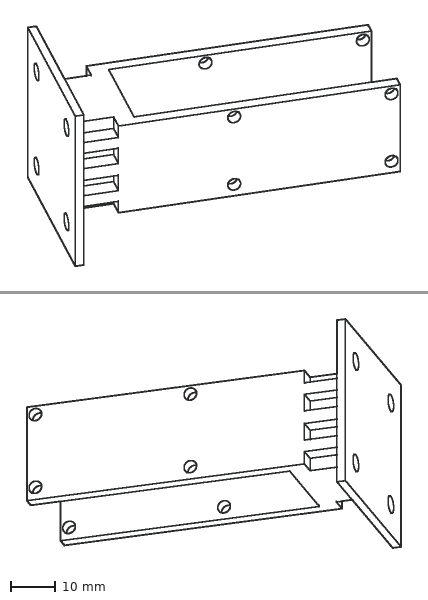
import cadquery as cq

total_length = 78.5
plate_side = 40.0
plate_thickness = 2.05

plate_hole_diameter = 4.0
plate_hole_pitch = 25.1

body_width = 27.1
body_height = 23.15
arm_gap = 21.35
gap_start = 16.5

arm_hole_diameter = 3.0
arm_hole_pitch_y = 37.1
arm_hole_pitch_z = 18.0
arm_hole_end_distance = 2.05
arm_hole_rise = 0.5

notch_length = 10.0
notch_depth = 4.1
notch_height = 4.1
notch_pitch = 7.2
corner_notch_height = 3.1


def block(x_size, y_start, y_size, z_size):
    """Box centred on X and Z that starts at the given Y."""
    return cq.Workplane("XY").box(x_size, y_size, z_size).translate((0, y_start + y_size / 2, 0))


def make_plate():
    plate = block(plate_side, 0, plate_thickness, plate_side)
    return (
        plate.faces("<Y")
        .workplane(centerOption="CenterOfBoundBox")
        .rarray(plate_hole_pitch, plate_hole_pitch, 2, 2)
        .hole(plate_hole_diameter)
    )


def cut_arm_holes(body):
    hole_y_centre = total_length - arm_hole_end_distance - arm_hole_pitch_y / 2
    drills = (
        cq.Workplane("YZ")
        .center(hole_y_centre, arm_hole_rise)
        .rarray(arm_hole_pitch_y, arm_hole_pitch_z, 2, 2)
        .circle(arm_hole_diameter / 2)
        .extrude(body_width, both=True)
    )
    return body.cut(drills)


def cut_notches(body):
    corner_z = (body_height - corner_notch_height) / 2
    inner_z = notch_pitch / 2
    notch_x = (body_width - notch_depth) / 2
    for side in (-1, 1):
        for end in (-1, 1):
            for height, z in ((notch_height, inner_z), (corner_notch_height, corner_z)):
                notch = block(notch_depth, plate_thickness, notch_length, height)
                body = body.cut(notch.translate((side * notch_x, 0, end * z)))
    return body


def make_body():
    body = block(body_width, plate_thickness, total_length - plate_thickness, body_height)
    body = body.cut(block(arm_gap, gap_start, total_length - gap_start, body_height))
    return cut_notches(cut_arm_holes(body))


result = make_plate().union(make_body())